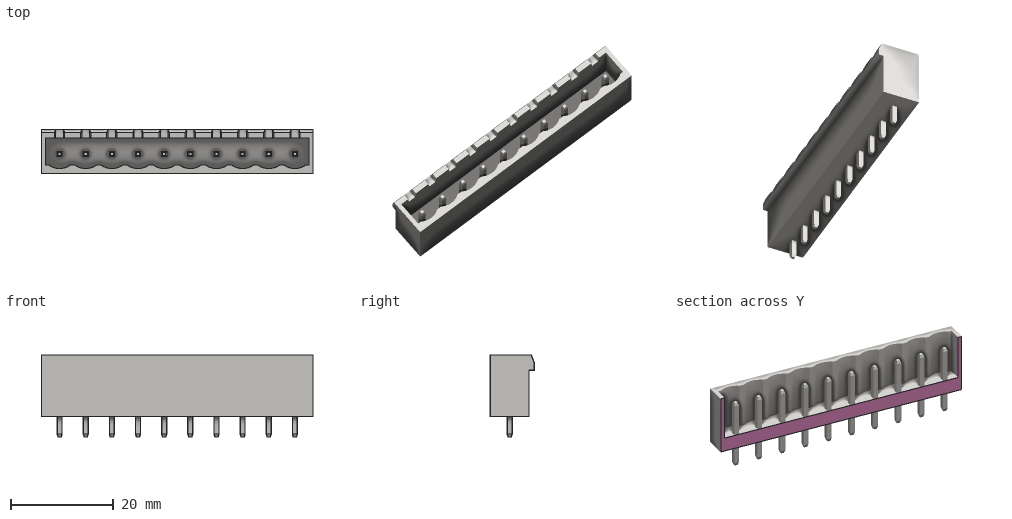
import cadquery as cq
import math

POSITIONS = 10
PITCH = 5.08
PIN_SIZE = 1.0
PIN_TIP_SIZE = 0.6
PIN_TIP_LENGTH = 0.6
PIN_TAIL_LENGTH = 4.0
PIN_TOP_CLEARANCE = 2.0

LENGTH = 52.8
DEPTH = 7.6
HEIGHT = 12.0
PIN_Y = DEPTH / 2

LIP_OVERHANG = 1.0
LIP_HEIGHT = 3.0
LIP_BEVEL_DEPTH = 0.6
LIP_BEVEL_HEIGHT = 1.5
REAR_Y = DEPTH + LIP_OVERHANG

END_WALL = 0.85
REAR_WALL = 0.7
FRONT_WALL = 1.65
FLOOR = 3.0
SCALLOP_DEPTH = 0.65
SCALLOP_WIDTH = 4.1

SLOT_FLOOR_WIDTH = 1.5
SLOT_TOP_WIDTH = 2.0
SLOT_DEPTH = LIP_BEVEL_HEIGHT

PIN_XS = [(i - (POSITIONS - 1) / 2) * PITCH for i in range(POSITIONS)]


def make_housing():
    """Side profile with the bevelled rear lip, extruded along X."""
    profile = [
        (0, 0),
        (DEPTH, 0),
        (DEPTH, HEIGHT - LIP_HEIGHT),
        (REAR_Y, HEIGHT - LIP_HEIGHT),
        (REAR_Y, HEIGHT - LIP_BEVEL_HEIGHT),
        (REAR_Y - LIP_BEVEL_DEPTH, HEIGHT),
        (0, HEIGHT),
    ]
    return cq.Workplane("YZ").polyline(profile).close().extrude(LENGTH / 2, both=True)


def make_cavity():
    """Open-topped pocket whose front wall has one arc scallop per contact."""
    half_length = LENGTH / 2 - END_WALL
    rear_y = DEPTH - REAR_WALL
    outline = cq.Workplane("XY").workplane(offset=FLOOR).moveTo(-half_length, rear_y)
    outline = outline.lineTo(-half_length, FRONT_WALL)
    for x in PIN_XS:
        outline = outline.lineTo(x - SCALLOP_WIDTH / 2, FRONT_WALL)
        outline = outline.threePointArc(
            (x, FRONT_WALL - SCALLOP_DEPTH),
            (x + SCALLOP_WIDTH / 2, FRONT_WALL),
        )
    outline = outline.lineTo(half_length, FRONT_WALL).lineTo(half_length, rear_y)
    return outline.close().extrude(HEIGHT - FLOOR)


def make_slot(x):
    """Trapezoidal notch through the rear wall and lip."""
    slot_floor = HEIGHT - SLOT_DEPTH
    section = [
        (x - SLOT_FLOOR_WIDTH / 2, slot_floor),
        (x + SLOT_FLOOR_WIDTH / 2, slot_floor),
        (x + SLOT_TOP_WIDTH / 2, HEIGHT),
        (x - SLOT_TOP_WIDTH / 2, HEIGHT),
    ]
    plane = cq.Workplane("XZ", origin=(0, PIN_Y, 0))
    return plane.polyline(section).close().extrude(PIN_Y - REAR_Y)


def make_pin(x):
    """Square pin tapered at both ends."""
    shank_bottom = PIN_TIP_LENGTH - PIN_TAIL_LENGTH
    shank_top = HEIGHT - PIN_TOP_CLEARANCE - PIN_TIP_LENGTH
    taper = math.degrees(math.atan((PIN_SIZE - PIN_TIP_SIZE) / 2 / PIN_TIP_LENGTH))

    def section(z):
        return cq.Workplane("XY", origin=(x, PIN_Y, z)).rect(PIN_SIZE, PIN_SIZE)

    shank = section(shank_bottom).extrude(shank_top - shank_bottom)
    top_tip = section(shank_top).extrude(PIN_TIP_LENGTH, taper=taper)
    bottom_tip = section(shank_bottom).extrude(-PIN_TIP_LENGTH, taper=taper)
    return shank.union(top_tip).union(bottom_tip)


result = make_housing().cut(make_cavity())
for pin_x in PIN_XS:
    result = result.cut(make_slot(pin_x))
    result = result.union(make_pin(pin_x))